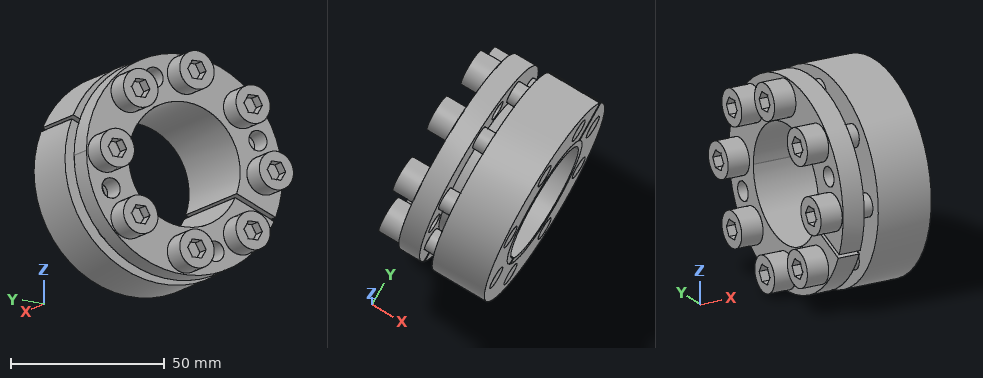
import cadquery as cq
import math

outer_diameter = 74.95
flange_diameter = 74.0
bore_diameter = 42.0

overall_length = 41.0
head_height = 8.0
flange_thickness = 7.95
outer_ring_length = 20.0

flange_front = 0.0
flange_back = flange_front + flange_thickness
head_front = flange_front - head_height
ring_back = head_front + overall_length
outer_ring_front = ring_back - outer_ring_length

cone_start_radius = 25.0
cone_half_angle = 4.0
cone_slope = math.tan(math.radians(cone_half_angle))

slit_width = 1.5
inner_slit_angle = 202.5
outer_slit_angle = inner_slit_angle - 180.0

screw_count = 8
screw_circle_radius = 30.0
shank_diameter = 8.0
head_diameter = 13.0
socket_sides = 6
socket_across_flats = 6.0
socket_depth = head_height / 2

jack_hole_count = screw_count // 2
jack_hole_diameter = 6.8
first_jack_hole_angle = 67.5


def cylinder(diameter, x_start, x_end):
    """Solid cylinder about the X axis between two X positions."""
    return cq.Workplane("YZ", origin=(x_start, 0, 0)).circle(diameter / 2).extrude(x_end - x_start)


def circle_points(count, first_angle=0.0):
    """Evenly spaced (Y, Z) points on the screw circle, angles counted from +Y towards +Z."""
    angles = [math.radians(first_angle + i * 360.0 / count) for i in range(count)]
    return [(screw_circle_radius * math.cos(a), screw_circle_radius * math.sin(a)) for a in angles]


def through_holes(points, diameter, x_start, x_end):
    """Cutters for parallel holes along X."""
    holes = cq.Workplane("YZ", origin=(x_start, 0, 0)).pushPoints(points)
    return holes.circle(diameter / 2).extrude(x_end - x_start)


def slit(angle):
    """Cutter for a radial slit on one side of the axis, over the full length of the rings."""
    return (
        cq.Workplane("XY")
        .box(ring_back - flange_front, outer_diameter, slit_width, centered=(False, False, True))
        .translate((flange_front, 0, 0))
        .rotate((0, 0, 0), (1, 0, 0), angle)
    )


def cone():
    """Solid cone frustum from the flange to the back face."""
    cone_end_radius = cone_start_radius - (ring_back - flange_back) * cone_slope
    profile = [
        (flange_back, 0),
        (flange_back, cone_start_radius),
        (ring_back, cone_end_radius),
        (ring_back, 0),
    ]
    return cq.Workplane("XY").polyline(profile).close().revolve(360, (0, 0, 0), (1, 0, 0))


def make_inner_ring():
    """Flange and tapered sleeve in one piece, bored and slit."""
    flange = cylinder(flange_diameter, flange_front, flange_back)
    jack_points = circle_points(jack_hole_count, first_jack_hole_angle)
    return (
        flange.union(cone())
        .cut(cylinder(bore_diameter, flange_front, ring_back))
        .cut(through_holes(screw_points, shank_diameter, flange_front, flange_back))
        .cut(through_holes(jack_points, jack_hole_diameter, flange_front, flange_back))
        .cut(slit(inner_slit_angle))
    )


def make_outer_ring():
    """Plain ring with a tapered bore, screw holes and a slit."""
    return (
        cylinder(outer_diameter, outer_ring_front, ring_back)
        .cut(cone())
        .cut(through_holes(screw_points, shank_diameter, outer_ring_front, ring_back))
        .cut(slit(outer_slit_angle))
    )


def make_screw(y, z):
    """Socket head screw whose shank reaches the back face of the rings."""
    head = cylinder(head_diameter, head_front, flange_front)
    shank = cylinder(shank_diameter, flange_front, ring_back)
    across_corners = socket_across_flats / math.cos(math.pi / socket_sides)
    socket = cq.Workplane("YZ", origin=(head_front, 0, 0)).polygon(socket_sides, across_corners)
    socket = socket.extrude(socket_depth)
    return head.union(shank).cut(socket).translate((0, y, z))


screw_points = circle_points(screw_count)
inner_ring = make_inner_ring()
outer_ring = make_outer_ring()
screws = [make_screw(y, z) for y, z in screw_points]

result = cq.Compound.makeCompound(
    [inner_ring.val(), outer_ring.val(), *[screw.val() for screw in screws]]
)